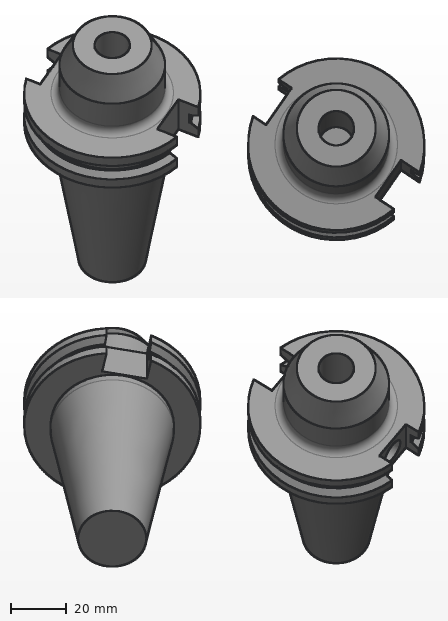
import cadquery as cq
import math

INCH = 25.4

taper_length = 68.25
gauge_diameter = 1.75 * INCH
taper_ratio = 7 / 24
tail_diameter = gauge_diameter - taper_ratio * taper_length
collar_length = INCH / 8

flange_diameter = 2.5 * INCH
flange_thickness = 0.625 * INCH
groove_floor_diameter = 56.36
groove_floor_width = 3.9
groove_ledge_width = 0.75
groove_flank_angle = 30

slot_width = 16.4
left_slot_floor_x = -25.0
right_slot_floor_x = 22.6

nose_length = 1.0 * INCH
nose_diameter = 1.5 * INCH
nose_tip_diameter = 28.4
nose_cone_length = 10.5
nose_fillet_radius = 3.0

bore_diameter = 0.5 * INCH
bore_depth = 1.0 * INCH
side_hole_diameter = 0.375 * INCH
side_hole_depth = 5.0

flange_bottom_z = taper_length + collar_length
flange_top_z = flange_bottom_z + flange_thickness
flange_middle_z = (flange_bottom_z + flange_top_z) / 2
nose_top_z = flange_top_z + nose_length


def make_body():
    """Revolve the half profile of shank, collar, flange and nose about Z."""
    nose_radius = nose_diameter / 2
    fillet_inset = nose_fillet_radius * (1 - math.sqrt(0.5))
    profile = (
        cq.Workplane("XZ")
        .lineTo(tail_diameter / 2, 0)
        .lineTo(gauge_diameter / 2, taper_length)
        .lineTo(gauge_diameter / 2, flange_bottom_z)
        .lineTo(flange_diameter / 2, flange_bottom_z)
        .lineTo(flange_diameter / 2, flange_top_z)
        .lineTo(nose_radius + nose_fillet_radius, flange_top_z)
        .threePointArc(
            (nose_radius + fillet_inset, flange_top_z + fillet_inset),
            (nose_radius, flange_top_z + nose_fillet_radius),
        )
        .lineTo(nose_radius, nose_top_z - nose_cone_length)
        .lineTo(nose_tip_diameter / 2, nose_top_z)
        .lineTo(0, nose_top_z)
        .close()
    )
    return profile.revolve(360, (0, 0, 0), (0, 1, 0))


def make_groove():
    """Ring, flared towards the flange rim, that cuts the gripper groove."""
    floor_radius = groove_floor_diameter / 2
    rim_radius = flange_diameter / 2
    ledge_radius = floor_radius + groove_ledge_width
    floor_half = groove_floor_width / 2
    rim_half = floor_half + (rim_radius - ledge_radius) * math.tan(math.radians(groove_flank_angle))
    section = (
        cq.Workplane("XZ")
        .moveTo(floor_radius, flange_middle_z - floor_half)
        .lineTo(ledge_radius, flange_middle_z - floor_half)
        .lineTo(rim_radius, flange_middle_z - rim_half)
        .lineTo(rim_radius, flange_middle_z + rim_half)
        .lineTo(ledge_radius, flange_middle_z + floor_half)
        .lineTo(floor_radius, flange_middle_z + floor_half)
        .close()
    )
    return section.revolve(360, (0, 0, 0), (0, 1, 0))


def make_drive_slot(floor_x):
    """Block that cuts one drive slot, from its floor out past the flange rim."""
    slot_length = flange_diameter / 2
    slot_center_x = floor_x + math.copysign(slot_length / 2, floor_x)
    block = cq.Workplane("XY").box(slot_length, slot_width, flange_thickness)
    return block.translate((slot_center_x, 0, flange_middle_z))


def make_bore():
    """Blind tool bore, open at the tip of the nose."""
    bore = cq.Workplane("XY").circle(bore_diameter / 2).extrude(-bore_depth)
    return bore.translate((0, 0, nose_top_z))


def make_side_hole():
    """Blind radial hole in the floor of the -X drive slot."""
    hole = cq.Workplane("YZ").circle(side_hole_diameter / 2).extrude(side_hole_depth)
    return hole.translate((left_slot_floor_x, 0, flange_middle_z))


result = make_body().cut(make_groove())
for floor_x in (left_slot_floor_x, right_slot_floor_x):
    result = result.cut(make_drive_slot(floor_x))
result = result.cut(make_bore()).cut(make_side_hole())